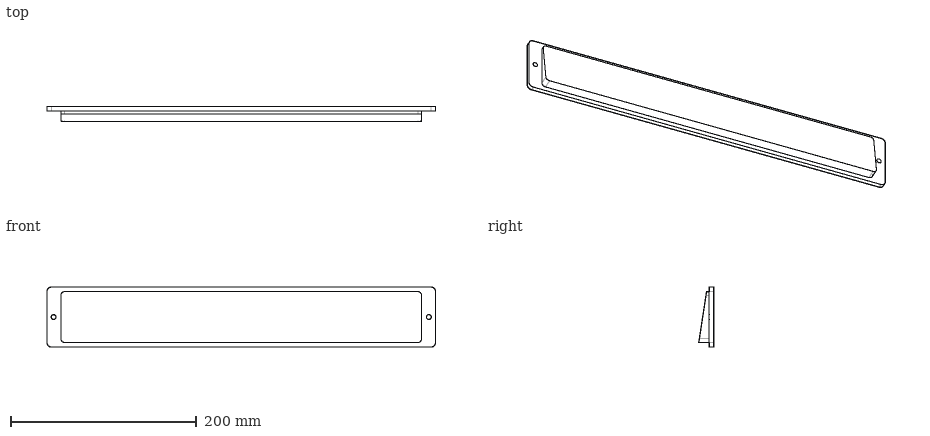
import cadquery as cq

plate_length = 418.5
plate_height = 65.0
plate_thickness = 5.0
plate_corner_radius = 5.0

total_depth = 16.5
wedge_length = 388.5
wedge_height = 55.0
wedge_top_depth = 3.0
wedge_corner_radius = 4.0

hole_diameter = 5.0
hole_spacing = 404.0

plate_front = -plate_thickness
wedge_top_front = plate_front - wedge_top_depth


def rounded_block(length, height, depth, corner_radius):
    """Block reaching forward from y = 0, with rounded corners in the XZ plane."""
    block = cq.Workplane("XZ").rect(length, height).extrude(depth)
    return block.edges("|Y").fillet(corner_radius)


def make_plate():
    plate = rounded_block(plate_length, plate_height, plate_thickness, plate_corner_radius)
    holes = (
        cq.Workplane("XZ")
        .rarray(hole_spacing, 4, 2, 1)
        .circle(hole_diameter / 2)
        .extrude(plate_thickness)
    )
    return plate.cut(holes)


def make_wedge():
    """Rounded block whose front is limited by a sloping side profile."""
    half_height = wedge_height / 2
    side_profile = [
        (0, -half_height),
        (-total_depth, -half_height),
        (wedge_top_front, half_height),
        (0, half_height),
    ]
    slope = (
        cq.Workplane("YZ")
        .polyline(side_profile)
        .close()
        .extrude(wedge_length / 2, both=True)
    )
    block = rounded_block(wedge_length, wedge_height, total_depth, wedge_corner_radius)
    return block.intersect(slope)


result = make_plate().union(make_wedge())